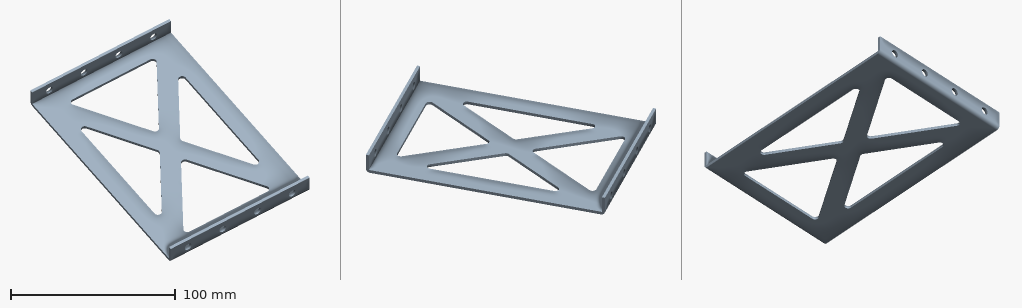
import cadquery as cq
import math

LENGTH = 152.4
WIDTH = 304.8 / 3
HEIGHT = LENGTH / 12
FLANGE_THICKNESS = 2.0
FLOOR_THICKNESS = 2.0
BEND_RADIUS = 2.6

FRAME_MARGIN = LENGTH / 12
STRAP_WIDTH = LENGTH / 12
STRAP_ANGLE = math.radians(32.5)
WINDOW_RADIUS = 2.5

HOLE_COUNT = 4
HOLE_DIAMETER = 5.0
HOLE_PITCH = WIDTH / HOLE_COUNT
HOLE_HEIGHT = HEIGHT / 2


def channel():
    """Floor with a flange turned up at each X end, rounded on the outer bends."""
    body = cq.Workplane("XY").box(LENGTH, WIDTH, HEIGHT, centered=(True, True, False))
    body = body.edges("|Y and <Z").fillet(BEND_RADIUS)
    cavity = (
        cq.Workplane("XY")
        .workplane(offset=FLOOR_THICKNESS)
        .box(LENGTH - 2 * FLANGE_THICKNESS, WIDTH, HEIGHT, centered=(True, True, False))
    )
    return body.cut(cavity)


def window(corners):
    """Triangular floor cutter with rounded corners."""
    prism = cq.Workplane("XY").polyline(corners).close().extrude(HEIGHT)
    return prism.edges("|Z").fillet(WINDOW_RADIUS)


def windows():
    """Four triangles that leave two crossing straps and an outer frame."""
    frame_x = LENGTH / 2 - FRAME_MARGIN
    frame_y = WIDTH / 2 - FRAME_MARGIN
    slope = math.tan(STRAP_ANGLE)
    tip_x = STRAP_WIDTH / 2 / math.sin(STRAP_ANGLE)
    tip_y = STRAP_WIDTH / 2 / math.cos(STRAP_ANGLE)
    side_y = (frame_x - tip_x) * slope
    end_x = (frame_y - tip_y) / slope

    end_window = window([(tip_x, 0), (frame_x, side_y), (frame_x, -side_y)])
    side_window = window([(0, tip_y), (end_x, frame_y), (-end_x, frame_y)])
    return [
        end_window,
        end_window.mirror("YZ"),
        side_window,
        side_window.mirror("XZ"),
    ]


def flange_holes():
    """Cutters that run through both flanges."""
    return (
        cq.Workplane("YZ")
        .center(0, HOLE_HEIGHT)
        .rarray(HOLE_PITCH, 1.5, HOLE_COUNT, 1)
        .circle(HOLE_DIAMETER / 2)
        .extrude(LENGTH / 2, both=True)
    )


result = channel()
for cutter in windows():
    result = result.cut(cutter)
result = result.cut(flange_holes())